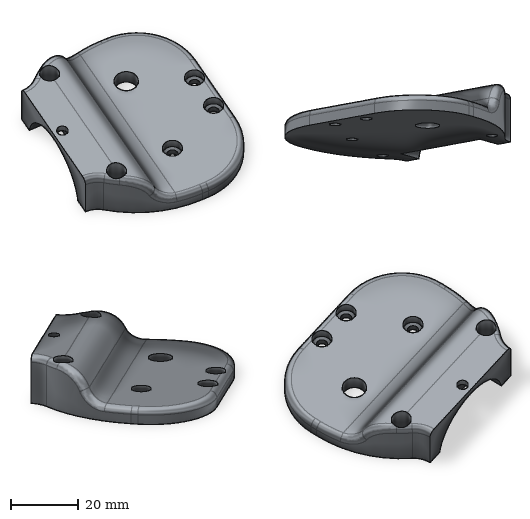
import cadquery as cq
import math

width = 65.0
depth = 55.0
height = 15.0
plate_thickness = 5.0

half_width = width / 2
front_half_width = 20.0
rear_corner_radius = 20.0
side_straight = 2.0
flank_radius = 42.0
edge_fillet = 2.0

step_top_y = 10.0
step_bottom_y = 25.1
step_upper_radius = 10.0

arch_half_width = 15.2
arch_rise = 12.9
arch_depth = 8.5

hole_diameter = 3.4
counterbore_diameter = 5.9
counterbore_floor = 2.0
large_hole_diameter = 7.2
rear_hole_x = 6.0
rear_hole_y = 50.95
middle_hole_x = 14.5
middle_hole_y = 32.45
block_hole_x = 21.0
block_hole_y = 10.0
front_hole_y = 3.0


def point_on_circle(center, radius, angle):
    return (center[0] + radius * math.cos(angle), center[1] + radius * math.sin(angle))


def mirrored(point):
    return (-point[0], point[1])


def make_outline():
    """Extrude the plan: rounded rear, bulging flanks and a concave neck at the front."""
    side_top_y = depth - rear_corner_radius
    side_bottom_y = side_top_y - side_straight
    rear_x = half_width - rear_corner_radius
    flank_center = (half_width - flank_radius, side_bottom_y)

    gap = front_half_width - flank_center[0]
    neck_radius = (gap**2 + side_bottom_y**2 - flank_radius**2) / (2 * (flank_radius - gap))
    neck_center = (front_half_width + neck_radius, 0)
    turn = math.atan2(side_bottom_y, neck_center[0] - flank_center[0])

    front = (front_half_width, 0)
    neck_middle = point_on_circle(neck_center, neck_radius, math.pi - turn / 2)
    neck_end = point_on_circle(neck_center, neck_radius, math.pi - turn)
    flank_middle = point_on_circle(flank_center, flank_radius, -turn / 2)
    side_bottom = (half_width, side_bottom_y)
    side_top = (half_width, side_top_y)
    corner_middle = point_on_circle((rear_x, side_top_y), rear_corner_radius, math.pi / 4)
    rear = (rear_x, depth)

    return (
        cq.Workplane("XY")
        .moveTo(*front)
        .threePointArc(neck_middle, neck_end)
        .threePointArc(flank_middle, side_bottom)
        .lineTo(*side_top)
        .threePointArc(corner_middle, rear)
        .lineTo(*mirrored(rear))
        .threePointArc(mirrored(corner_middle), mirrored(side_top))
        .lineTo(*mirrored(side_bottom))
        .threePointArc(mirrored(flank_middle), mirrored(neck_end))
        .threePointArc(mirrored(neck_middle), mirrored(front))
        .close()
        .extrude(height)
    )


def make_side_profile():
    """Extrude the side profile (Y, Z) across the full width."""
    run = step_bottom_y - step_top_y
    drop = height - plate_thickness
    turn = 2 * math.atan2(drop, run)
    lower_radius = run / math.sin(turn) - step_upper_radius
    upper_center = (step_top_y, height - step_upper_radius)
    lower_center = (step_bottom_y, plate_thickness + lower_radius)
    upper_middle = point_on_circle(upper_center, step_upper_radius, math.pi / 2 - turn / 2)
    junction = point_on_circle(upper_center, step_upper_radius, math.pi / 2 - turn)
    lower_middle = point_on_circle(lower_center, lower_radius, -math.pi / 2 - turn / 2)

    return (
        cq.Workplane("YZ")
        .lineTo(0, height)
        .lineTo(step_top_y, height)
        .threePointArc(upper_middle, junction)
        .threePointArc(lower_middle, (step_bottom_y, plate_thickness))
        .lineTo(depth, plate_thickness)
        .lineTo(depth, 0)
        .close()
        .extrude(half_width, both=True)
    )


def is_rim_edge(edge):
    """True for the edges where the top surface meets the walls.

    Leaves out the underside, the vertical edges and the centered lines across the top,
    keeping of the centered lines only the one at the rear wall.
    """
    tolerance = 0.05
    center = edge.Center()
    on_top = center.z > plate_thickness - tolerance
    crosses_top = abs(center.x) < tolerance and center.y < depth - tolerance
    is_vertical = abs(edge.tangentAt(0.5).z) > 0.4225 - tolerance**2
    return on_top and not crosses_top and not is_vertical


def round_top_rim(body):
    rim = body.edges().filter(is_rim_edge)
    return rim.fillet(edge_fillet)


def make_arch():
    radius = (arch_half_width**2 + arch_rise**2) / (2 * arch_rise)
    return (
        cq.Workplane("XZ")
        .center(0, arch_rise - radius)
        .circle(radius)
        .extrude(-arch_depth)
    )


def make_hole(x, y, diameter, bottom=0):
    """Vertical cylinder from the given level up through the top of the part."""
    return cq.Workplane("XY", origin=(x, y, bottom)).circle(diameter / 2).extrude(height)


result = round_top_rim(make_outline().intersect(make_side_profile()))
result = result.cut(make_arch())

counterbored_holes = [(middle_hole_x, middle_hole_y)]
for side in (-1, 1):
    counterbored_holes.append((side * rear_hole_x, rear_hole_y))
    counterbored_holes.append((side * block_hole_x, block_hole_y))

for x, y in counterbored_holes:
    result = result.cut(make_hole(x, y, hole_diameter))
    result = result.cut(make_hole(x, y, counterbore_diameter, counterbore_floor))

result = result.cut(make_hole(-middle_hole_x, middle_hole_y, large_hole_diameter))
result = result.cut(make_hole(0, front_hole_y, hole_diameter))